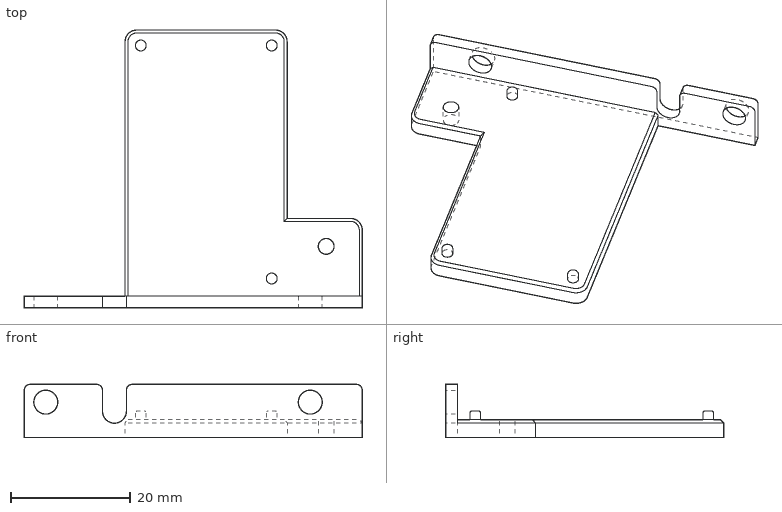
import cadquery as cq

length = 56.8
depth = 46.7
height = 9.0

wall_thickness = 2.0
wall_corner_radius = 1.0
mount_hole_diameter = 4.0
mount_hole_z = 5.95
mount_hole_xs = (3.65, 48.05)
slot_width = 4.0
slot_x = 15.15
slot_bottom_z = 2.45

plate_thickness = 3.0
plate_left = 16.9
plate_width = 27.25
step_y = 15.05
plate_corner_radius = 2.0
plate_chamfer = 0.5
plate_hole_diameter = 2.6
plate_hole_position = (50.7, 10.35)

pin_diameter = 1.8
pin_top_z = 4.5
pin_tip_radius = 0.35
left_pin_x = 19.6
right_pin_x = 41.6
front_pin_y = 4.95
back_pin_y = 44.1
pin_positions = [
    (left_pin_x, back_pin_y),
    (right_pin_x, back_pin_y),
    (right_pin_x, front_pin_y),
]


def make_wall():
    """Upright wall with two mounting holes and an open-topped, round-bottomed slot."""
    slot_radius = slot_width / 2
    slot_left = slot_x - slot_radius
    slot_right = slot_x + slot_radius
    slot_arc_z = slot_bottom_z + slot_radius
    wall = (
        cq.Workplane("XZ")
        .lineTo(length, 0)
        .lineTo(length, height)
        .lineTo(slot_right, height)
        .lineTo(slot_right, slot_arc_z)
        .threePointArc((slot_x, slot_bottom_z), (slot_left, slot_arc_z))
        .lineTo(slot_left, height)
        .lineTo(0, height)
        .close()
        .extrude(-wall_thickness)
    )
    top_corners = wall.faces(">Z").edges("|Y")
    wall = wall.newObject(top_corners.vals()).fillet(wall_corner_radius)
    holes = (
        cq.Workplane("XZ")
        .pushPoints([(x, mount_hole_z) for x in mount_hole_xs])
        .circle(mount_hole_diameter / 2)
        .extrude(-wall_thickness)
    )
    return wall.cut(holes)


def make_plate():
    """L-shaped plate with rounded outer corners and a chamfered free top edge."""
    plate_right = plate_left + plate_width
    outline = [
        (plate_left, wall_thickness),
        (length, wall_thickness),
        (length, step_y),
        (plate_right, step_y),
        (plate_right, depth),
        (plate_left, depth),
    ]
    plate = cq.Workplane("XY").polyline(outline).close().extrude(plate_thickness)
    back_corners = plate.edges("|Z and >Y").vals()
    step_corner = plate.edges("|Z and >X").edges(">Y").vals()
    plate = plate.newObject(back_corners + step_corner).fillet(plate_corner_radius)
    plate = plate.faces(">Z").edges("not <Y").chamfer(plate_chamfer)
    hole = (
        cq.Workplane("XY")
        .center(*plate_hole_position)
        .circle(plate_hole_diameter / 2)
        .extrude(plate_thickness)
    )
    return plate.cut(hole)


def make_pins():
    """Round-tipped pins, rooted at the underside of the plate."""
    return (
        cq.Workplane("XY")
        .pushPoints(pin_positions)
        .circle(pin_diameter / 2)
        .extrude(pin_top_z)
        .faces(">Z")
        .edges()
        .fillet(pin_tip_radius)
    )


result = make_wall().union(make_plate()).union(make_pins())